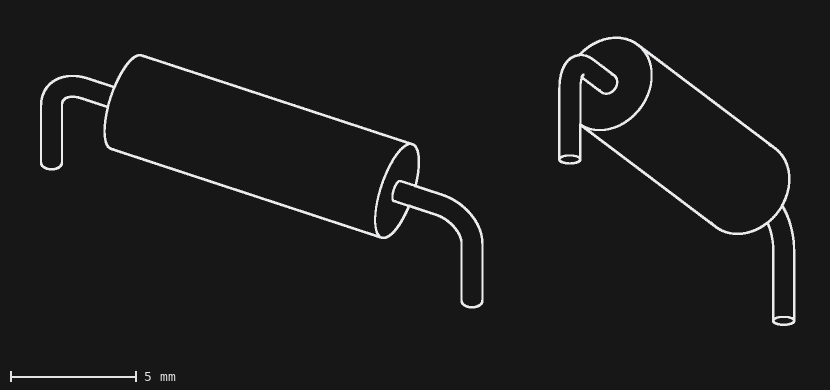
import cadquery as cq

overall_length = 19.48
overall_height = 6.45

body_diameter = 3.92
body_length = 12.0

lead_diameter = 0.84
bend_radius = 1.46

lead_x = (overall_length - lead_diameter) / 2
lead_bottom_z = body_diameter / 2 - overall_height


def make_body():
    """Plain cylinder with its middle at the origin."""
    return cq.Workplane("YZ", origin=(-body_length / 2, 0, 0)).circle(body_diameter / 2).extrude(body_length)


def make_lead(side):
    """Wire from the body's end face, bent down; side is -1 or +1 along X."""
    start_x = side * body_length / 2
    leg_x = side * lead_x
    bend_start_x = side * (lead_x - bend_radius)
    centreline = (
        cq.Workplane("XZ")
        .moveTo(start_x, 0)
        .lineTo(bend_start_x, 0)
        .tangentArcPoint((leg_x, -bend_radius), relative=False)
        .lineTo(leg_x, lead_bottom_z)
    )
    return cq.Workplane("YZ", origin=(start_x, 0, 0)).circle(lead_diameter / 2).sweep(centreline)


body = make_body()
leads = [make_lead(side) for side in (-1, 1)]

result = cq.Compound.makeCompound([body.val(), *[lead.val() for lead in leads]])